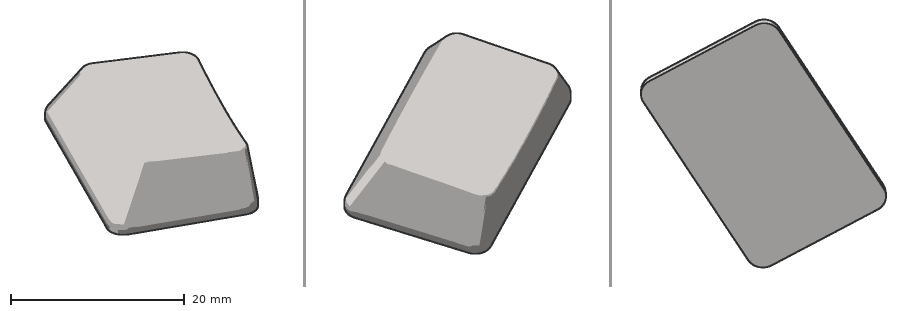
import cadquery as cq
import math

length = 27.7
width = 18.16

skirt_height = 0.66
knee_top = 1.33
blank_height = 8.3
top_half_width = 6.1

side_lean = 25.0
front_lean = 28.0
back_lean = 4.5

dish_radius = 72.0
dish_slope = 3.2
dish_valley_height = 6.73

corner_radius = 2.0
knee_corner_radius = 1.9
top_corner_radius = 1.8

rim_radius = 0.42


def wall_inset(lean, height):
    """Inward shift of a wall: an arc through the knee, then a straight lean."""
    angle = math.radians(lean)
    radius = (knee_top - skirt_height) / math.sin(angle)
    arc_height = max(min(height, knee_top) - skirt_height, 0)
    arc_inset = radius - math.sqrt(radius**2 - arc_height**2)
    return arc_inset + max(height - knee_top, 0) * math.tan(angle)


def section(height, radius, slope=0.0):
    """Rounded outline at a given centre height, sloping down towards the back."""
    tilt_rise = top_half_width * math.tan(math.radians(slope))
    side = wall_inset(side_lean, height)
    front = wall_inset(front_lean, height + tilt_rise)
    back = wall_inset(back_lean, height - tilt_rise)
    center = cq.Vector(0, (front - back) / 2, height)
    return (
        cq.Sketch()
        .rect(length - 2 * side, width - front - back)
        .vertices()
        .fillet(radius)
        .moved(cq.Location(center, cq.Vector(1, 0, 0), -slope))
    )


def loft_between(*sections, ruled=True):
    return cq.Workplane("XY").placeSketch(*sections).loft(ruled=ruled)


def dish_cutter():
    """Cylinder whose lowest line forms the valley of the dished top."""
    valley_plane = cq.Plane(
        origin=(0, 0, dish_valley_height),
        xDir=(1, 0, 0),
        normal=(0, -math.cos(math.radians(dish_slope)), math.sin(math.radians(dish_slope))),
    )
    return (
        cq.Workplane(valley_plane)
        .center(0, dish_radius)
        .circle(dish_radius)
        .extrude(width, both=True)
    )


knee_middle = (skirt_height + knee_top) / 2
skirt_outline = section(skirt_height, corner_radius)
knee_middle_outline = section(knee_middle, (corner_radius + knee_corner_radius) / 2)
knee_top_outline = section(knee_top, knee_corner_radius)
blank_outline = section(blank_height, top_corner_radius, dish_slope)

skirt = loft_between(section(0, corner_radius), skirt_outline)
knee = loft_between(skirt_outline, knee_middle_outline, knee_top_outline, ruled=False)
walls = loft_between(knee_top_outline, blank_outline)

walls = walls.cut(dish_cutter())
walls = walls.faces(">Z").edges().fillet(rim_radius)

result = skirt.union(knee).union(walls)